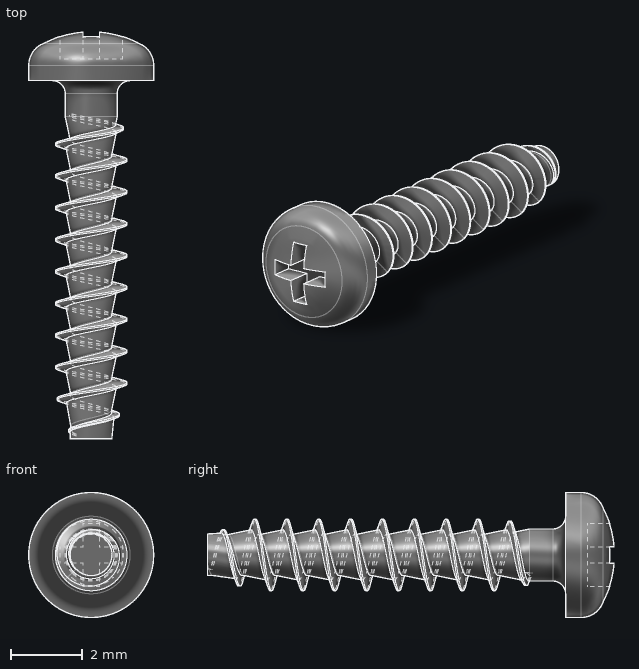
import cadquery as cq
import math


head_radius = 1.75
head_height = 1.36
rim_height = 0.43
shoulder_radius = 1.33
dome_radius = 2.83

recess_arm_width = 0.45
recess_rim_depth = 0.12
recess_depth = 0.75

screw_length = 10.0
neck_radius = 0.73
neck_fillet = 0.355
neck_length = 1.0
neck_taper_length = 0.75
core_radius = 0.575

pitch = 0.89
crest_radius = 1.0
start_crest_radius = 0.83
crest_half_width = 0.022
base_half_width = 0.115
root_high_radius = 0.705
root_low_radius = 0.57
turn_gap = 0.005
buried_radius = 0.48
buried_inset = 0.04
reference_y = -0.88
start_turn = 0.12
end_turn = 10.12
ramp_end_turn = 1.0
fade_start_turn = 8.85
fade_end = 0.97
thread_stretches = 10
points_per_stretch = 20

corner_radius = recess_arm_width / math.sqrt(2)
dome_center_y = head_height - math.sqrt(dome_radius**2 - corner_radius**2)


def dome_height(radius):
    """Y of the dome surface at a distance from the axis."""
    return dome_center_y + math.sqrt(dome_radius**2 - radius**2)


def make_blank():
    """Head, filleted neck and plain core as one revolved body."""
    fillet_mid = neck_fillet * (1 - math.sqrt(0.5))
    return (
        cq.Workplane("XY")
        .moveTo(0, -screw_length)
        .lineTo(core_radius, -screw_length)
        .lineTo(core_radius, -neck_length - neck_taper_length)
        .lineTo(neck_radius, -neck_length)
        .lineTo(neck_radius, -neck_fillet)
        .threePointArc(
            (neck_radius + fillet_mid, -fillet_mid),
            (neck_radius + neck_fillet, 0),
        )
        .lineTo(head_radius, 0)
        .lineTo(head_radius, rim_height)
        .tangentArcPoint((shoulder_radius, dome_height(shoulder_radius)), relative=False)
        .threePointArc(
            (shoulder_radius / 2, dome_height(shoulder_radius / 2)),
            (0, dome_height(0)),
        )
        .close()
        .revolve(360, (0, 0, 0), (0, 1, 0))
    )


def make_recess():
    """Cross recess whose arms run out where the dome falls to the rim depth."""
    rim_y = head_height - recess_rim_depth
    arm_reach = math.sqrt(dome_radius**2 - (rim_y - dome_center_y) ** 2)
    bottom_y = head_height - recess_depth
    cutter_height = 2 * recess_depth
    center = (0, bottom_y + cutter_height / 2, 0)
    arm_x = cq.Workplane("XY").box(2 * arm_reach, cutter_height, recess_arm_width)
    arm_z = cq.Workplane("XY").box(recess_arm_width, cutter_height, 2 * arm_reach)
    return arm_x.union(arm_z).translate(center)


def thread_profile(turn):
    """Thread section at a given turn, as (radius, Y offset) corners."""
    growth = min((turn - start_turn) / (ramp_end_turn - start_turn), 1)
    crest = start_crest_radius + (crest_radius - start_crest_radius) * growth
    fade = fade_end * max(0, turn - fade_start_turn) / (end_turn - fade_start_turn)
    crest += (core_radius - crest) * fade
    root_high = root_high_radius + (core_radius - root_high_radius) * fade
    half_width = base_half_width + (crest_half_width - base_half_width) * fade
    root_end = base_half_width + turn_gap - pitch
    return [
        (crest, crest_half_width),
        (crest, -crest_half_width),
        (root_high, -half_width),
        (root_low_radius, root_end),
        (buried_radius, root_end + buried_inset),
        (buried_radius, half_width - buried_inset),
        (root_low_radius, half_width),
    ]


def thread_point(turn, corner):
    """Place one profile corner on its helix."""
    radius, offset = thread_profile(turn)[corner]
    angle = 2 * math.pi * turn
    y = reference_y - pitch * turn + offset
    return cq.Vector(-radius * math.cos(angle), y, -radius * math.sin(angle))


def thread_stretch(start, end):
    """Ruled faces around the thread between two turns, open at both ends."""
    step = (end - start) / points_per_stretch
    turns = [start + step * count for count in range(points_per_stretch + 1)]
    corner_count = len(thread_profile(start))
    rails = [
        cq.Edge.makeSpline([thread_point(turn, corner) for turn in turns])
        for corner in range(corner_count)
    ]
    return [
        cq.Face.makeRuledSurface(rails[corner], rails[(corner + 1) % corner_count])
        for corner in range(corner_count)
    ]


def thread_end_face(turn):
    """Flat face closing the thread on a plane through the axis."""
    corners = [thread_point(turn, corner) for corner in range(len(thread_profile(turn)))]
    return cq.Face.makeFromWires(cq.Wire.makePolygon(corners, close=True))


def make_thread():
    """Thread with its sloping root, closed from ruled helical faces."""
    faces = [thread_end_face(start_turn), thread_end_face(end_turn)]
    stretch_length = (end_turn - start_turn) / thread_stretches
    for index in range(thread_stretches):
        start = start_turn + index * stretch_length
        faces += thread_stretch(start, start + stretch_length)
    thread = cq.Solid.makeSolid(cq.Shell.makeShell(faces))
    return cq.Workplane("XY").newObject([cq.Shape.cast(thread.fix().wrapped)])


def make_beyond_tip():
    """Block that trims the thread flush with the flat tip."""
    side = 2 * head_radius
    return cq.Workplane("XY").box(side, side, side).translate((0, -screw_length - side / 2, 0))


result = make_blank().union(make_thread()).cut(make_beyond_tip()).cut(make_recess())